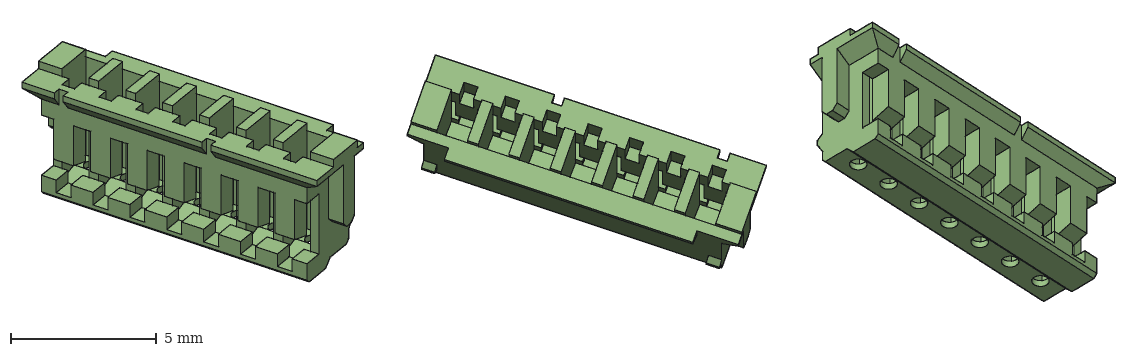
import cadquery as cq


TOTAL_WIDTH = 12
BODY_WIDTH = 10.8
BODY_DEPTH = 2.66
TOTAL_HEIGHT = 4.8
RIM_TOP = 4.5
FOOT_DROP = 0.3

CONTACT_COUNT = 7
PITCH = 1.5
DIVIDER_WIDTH = 0.4
CAVITY_WIDTH = PITCH - DIVIDER_WIDTH
WALL_FRONT = 0.75
WALL_BACK = 0.38
CAVITY_BACK = BODY_DEPTH - WALL_BACK
CAVITY_DEPTH = CAVITY_BACK - WALL_FRONT
FLOOR_Z = 0.55
RAMP_FRONT_Z = FOOT_DROP
RAMP_BACK = WALL_FRONT + CAVITY_DEPTH / 2
HOLE_DIAMETER = 0.6
HOLE_Y = RAMP_BACK + HOLE_DIAMETER / 2
CONTACT_X = [PITCH * (i - (CONTACT_COUNT - 1) / 2) for i in range(CONTACT_COUNT)]

RIM_EDGE_Z = 4.26
RIM_ROOT_Z = 3.86
RIM_FRONT = 0.3
RIM_BACK = 0.43
BACK_RIM_WIDTH = (CONTACT_COUNT - 1) * PITCH
RIM_NOTCH_WIDTH = 0.36
RIM_NOTCH_CONTACTS = (0, 4)

WINDOW_TOP = 3.22
LEDGE_TOP = 0.8
BLADE_WIDTH = 0.8
BLADE_FRONT_Z = 1.61
BLADE_BACK_Z = 1.39
LEDGE_NOTCH_WIDTH = 0.6
KEYWAY_WIDTH = 0.5
KEYWAY_DEPTH = 0.45

EDGE_CHAMFER = 0.15
FOOT_BACK = 1.19

RIB_FRONT = 1.38
RIB_WIDTH = 0.72
RIB_BOTTOM = 1.68
RIB_CHAMFER = 0.22

BUMP_WIDTH = 0.48
BUMP_HEIGHT = 0.24
BUMP_OUTLINE_Z = (0.83, 1.21, 1.42, 1.58)


def box(x_range, y_range, z_range):
    """Block between the given limits."""
    corner = (x_range[0], y_range[0], z_range[0])
    size = [high - low for low, high in (x_range, y_range, z_range)]
    return cq.Workplane("XY").box(*size, centered=False).translate(corner)


def slab(x, width, y_range, z_range):
    """Block of the given width centred on x."""
    return box((x - width / 2, x + width / 2), y_range, z_range)


def side_profile(points, x, width):
    """Outline of (Y, Z) points extruded along X, centred on x."""
    return cq.Workplane("YZ").polyline(points).close().extrude(width / 2, both=True).translate((x, 0, 0))


def body():
    """Body with its foot and the rim along the front and the ends."""
    side = side_profile(
        [
            (EDGE_CHAMFER, 0),
            (FOOT_BACK, 0),
            (FOOT_BACK + FOOT_DROP, FOOT_DROP),
            (BODY_DEPTH - EDGE_CHAMFER, FOOT_DROP),
            (BODY_DEPTH, FOOT_DROP + EDGE_CHAMFER),
            (BODY_DEPTH, RIM_TOP),
            (-RIM_FRONT, RIM_TOP),
            (-RIM_FRONT, RIM_EDGE_Z),
            (0, RIM_ROOT_Z),
            (0, EDGE_CHAMFER),
        ],
        0,
        TOTAL_WIDTH,
    )
    half_body = BODY_WIDTH / 2
    half_rim = TOTAL_WIDTH / 2
    front = (
        cq.Workplane("XZ", origin=(0, -RIM_FRONT, 0))
        .polyline(
            [
                (-half_body, 0),
                (half_body, 0),
                (half_body, RIM_ROOT_Z),
                (half_rim, RIM_EDGE_Z),
                (half_rim, RIM_TOP),
                (-half_rim, RIM_TOP),
                (-half_rim, RIM_EDGE_Z),
                (-half_body, RIM_ROOT_Z),
            ]
        )
        .close()
        .extrude(-(RIM_FRONT + BODY_DEPTH))
    )
    return side.intersect(front)


def back_rim():
    """Shorter length of rim along the back."""
    points = [
        (BODY_DEPTH, RIM_ROOT_Z),
        (BODY_DEPTH + RIM_BACK, RIM_EDGE_Z),
        (BODY_DEPTH + RIM_BACK, RIM_TOP),
        (BODY_DEPTH, RIM_TOP),
    ]
    return side_profile(points, 0, BACK_RIM_WIDTH)


def raised_top():
    """Raised strip that the cavities later divide into dividers and end blocks."""
    return slab(0, TOTAL_WIDTH, (WALL_FRONT, CAVITY_BACK), (RIM_TOP, TOTAL_HEIGHT))


def guide_ribs():
    """Upright ribs on both ends, chamfered at the lower corners."""
    ribs = slab(0, TOTAL_WIDTH, (RIB_FRONT, RIB_FRONT + RIB_WIDTH), (RIB_BOTTOM, RIM_TOP))
    return ribs.faces("<Z").edges("|X").chamfer(RIB_CHAMFER)


def latch_bump(side):
    """Bump on the back face, flush with one end of the body."""
    low, full_low, full_high, high = BUMP_OUTLINE_Z
    peak = BODY_DEPTH + BUMP_HEIGHT
    points = [(BODY_DEPTH, low), (peak, full_low), (peak, full_high), (BODY_DEPTH, high)]
    return side_profile(points, side * (BODY_WIDTH - BUMP_WIDTH) / 2, BUMP_WIDTH)


def blade(x):
    """Blade hanging in the front window, with a sloping lower end."""
    points = [
        (0, WINDOW_TOP),
        (0, BLADE_FRONT_Z),
        (WALL_FRONT, BLADE_BACK_Z),
        (WALL_FRONT, WINDOW_TOP),
    ]
    return side_profile(points, x, BLADE_WIDTH)


def cavity(x):
    """Contact cavity, open at the top, with a ramped floor and a hole through it."""
    points = [
        (WALL_FRONT, RAMP_FRONT_Z),
        (RAMP_BACK, FLOOR_Z),
        (CAVITY_BACK, FLOOR_Z),
        (CAVITY_BACK, TOTAL_HEIGHT),
        (WALL_FRONT, TOTAL_HEIGHT),
    ]
    hole = cq.Workplane("XY").center(x, HOLE_Y).circle(HOLE_DIAMETER / 2).extrude(TOTAL_HEIGHT)
    return side_profile(points, x, CAVITY_WIDTH).union(hole)


def keyway(x):
    """Blind groove in the front wall, open to the cavity and to the top."""
    return slab(x, KEYWAY_WIDTH, (WALL_FRONT - KEYWAY_DEPTH, WALL_FRONT), (WINDOW_TOP, RIM_TOP))


def ledge_notch(x):
    """Notch through the ledge in front of a cavity."""
    return slab(x, LEDGE_NOTCH_WIDTH, (0, WALL_FRONT), (RAMP_FRONT_Z, LEDGE_TOP))


def rim_notch(x):
    """Notch through the overhang of the front rim."""
    return slab(x, RIM_NOTCH_WIDTH, (-RIM_FRONT, 0), (RIM_ROOT_Z, RIM_TOP))


housing = body().union(back_rim()).union(raised_top()).union(guide_ribs())
for end in (-1, 1):
    housing = housing.union(latch_bump(end))

housing = housing.cut(slab(0, BODY_WIDTH, (0, WALL_FRONT), (LEDGE_TOP, WINDOW_TOP)))
for contact_x in CONTACT_X:
    housing = housing.union(blade(contact_x))

for contact_x in CONTACT_X:
    housing = housing.cut(cavity(contact_x))
    housing = housing.cut(keyway(contact_x))
    housing = housing.cut(ledge_notch(contact_x))

for index in RIM_NOTCH_CONTACTS:
    housing = housing.cut(rim_notch(CONTACT_X[index]))

result = housing